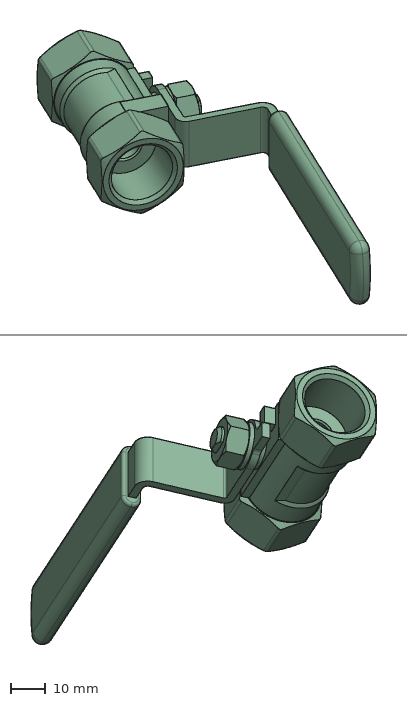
import cadquery as cq
import math


overall_depth = 57.7

hex_half_sector = 30
bevel_angle = 30

body_length = 57.0
end_x = body_length / 2
hex_flats = 25.0
hex_length = 13.7
hex_edge_radius = 1.3
hex_cone_radius = 12.2
hex_inner_x = end_x - hex_length

collar_radius = 12.0
waist_diameter = 22.2
waist_start_x = -10.2
waist_end_x = 7.7
shoulder_length = 1.2
rib_half_width = 10.9

deck_y = hex_flats / 2
deck_half_width = 6.5
cheek_height = 12.1
cheek_chamfer = 0.4
boss_diameter = 12.0

stop_start_x = -12.7
stop_length = 3.3
stop_width = 5.8
stop_top_y = 16.0

bore_diameter = 9.3
bore_chamfer = 0.5
socket_diameter = 18.6
socket_depth = 15.4
socket_mouth_diameter = 20.8

strip_thickness = 2.5
strip_width = 15.8
strip_bottom_y = 14.4
strip_top_y = strip_bottom_y + strip_thickness
riser_x = 17.0
lower_bend_radius = 1.9
upper_bend_radius = 2.8
tab_end_x = -13.0
tab_top_z = -0.4
tab_width = 5.1
tab_corner_radius = 2.6

grip_start_x = 24.9
grip_end_x = 100.0
grip_thickness = 5.9
grip_top_y = overall_depth - hex_flats / 2
grip_center_y = grip_top_y - grip_thickness / 2
grip_width = 21.5
grip_tip_bulge = 1.5
grip_corner_radius = 3.2
grip_side_flat = 0.01
grip_round = (grip_thickness - grip_side_flat) / 2
grip_mouth_radius = 1.0

washer_diameter = 14.0
nut_flats = 13.0
nut_bottom_y = 18.2
nut_top_y = 24.9
nut_cone_radius = nut_flats / 2
stem_diameter = 7.8
stem_radius = stem_diameter / 2
stem_flats = 5.5
stem_top_y = 26.7
stem_chamfer = 1.0


def box_between(x_range, y_range, z_range):
    """Box given by its lower and upper limits along each axis."""
    size = [high - low for low, high in (x_range, y_range, z_range)]
    corner = (x_range[0], y_range[0], z_range[0])
    return cq.Workplane("XY").box(*size, centered=False).translate(corner)


def upright_cylinder(radius, y_low, y_high):
    """Cylinder on the stem axis."""
    return cq.Workplane("ZX", origin=(0, y_low, 0)).circle(radius).extrude(y_high - y_low)


def coned_cylinder(length, end_radius, corner_radius, angle):
    """Cylinder along Z with conical ends, used to bevel the corners of a hexagon."""
    cone_length = (corner_radius - end_radius) * math.tan(math.radians(angle))
    outline = [
        (0, 0),
        (end_radius, 0),
        (corner_radius, cone_length),
        (corner_radius, length - cone_length),
        (end_radius, length),
        (0, length),
    ]
    return cq.Workplane("XZ").polyline(outline).close().revolve(360, (0, 0), (0, 1))


def hexagon(flats, length, end_radius, edge_radius=0.0):
    """Bevelled hexagonal prism along Z with two corners on the X axis."""
    corner_radius = flats / 2 / math.cos(math.radians(hex_half_sector))
    prism = cq.Workplane("XY").polygon(6, 2 * corner_radius).extrude(length)
    if edge_radius > 0:
        prism = prism.edges("|Z").fillet(edge_radius)
    return prism.intersect(coned_cylinder(length, end_radius, corner_radius, bevel_angle))


def end_hexagon(start_x):
    """Housing hexagon along X, its corners pointing up and down."""
    along_x = hexagon(hex_flats, hex_length, hex_cone_radius, hex_edge_radius).rotate(
        (0, 0, 0), (0, 1, 0), 90
    )
    return along_x.translate((start_x, 0, 0))


def make_barrel():
    """Round middle: two collars joined by a slimmer waist with sloped shoulders."""
    outline = [
        (-hex_inner_x, 0),
        (-hex_inner_x, collar_radius),
        (waist_start_x, collar_radius),
        (waist_start_x + shoulder_length, waist_diameter / 2),
        (waist_end_x - shoulder_length, waist_diameter / 2),
        (waist_end_x, collar_radius),
        (hex_inner_x, collar_radius),
        (hex_inner_x, 0),
    ]
    return cq.Workplane("XY").polyline(outline).close().revolve(360, (0, 0), (1, 0))


def make_waist_rib():
    """Collar-sized upper half of the waist, cut flat on both sides."""
    rib = box_between(
        (waist_start_x, waist_end_x), (0, collar_radius), (-rib_half_width, rib_half_width)
    )
    envelope = cq.Workplane("YZ").circle(collar_radius).extrude(body_length / 2, both=True)
    return rib.intersect(envelope)


def make_bore():
    """Through hole with a chamfered socket at each end."""
    mouth_chamfer = (socket_mouth_diameter - socket_diameter) / 2
    shoulder_x = end_x - socket_depth
    half_outline = [
        (end_x, socket_mouth_diameter / 2),
        (end_x - mouth_chamfer, socket_diameter / 2),
        (shoulder_x, socket_diameter / 2),
        (shoulder_x, bore_diameter / 2 + bore_chamfer),
        (shoulder_x - bore_chamfer, bore_diameter / 2),
    ]
    mirrored = [(-x, r) for x, r in reversed(half_outline)]
    outline = [(end_x, 0)] + half_outline + mirrored + [(-end_x, 0)]
    return cq.Workplane("XY").polyline(outline).close().revolve(360, (0, 0), (1, 0))


def make_housing():
    """Valve housing with its deck, stem boss and lever stop."""
    deck = box_between(
        (-hex_inner_x, hex_inner_x), (0, deck_y), (-deck_half_width, deck_half_width)
    )
    cheek = box_between((waist_end_x, hex_inner_x), (0, deck_y), (0, cheek_height))
    cheek = cheek.faces("<X").edges(">Z").chamfer(cheek_chamfer)
    stop = box_between((stop_start_x, stop_start_x + stop_length), (0, stop_top_y), (0, stop_width))
    boss = upright_cylinder(boss_diameter / 2, 0, strip_bottom_y)

    housing = make_barrel()
    for start_x in (-end_x, hex_inner_x):
        housing = housing.union(end_hexagon(start_x))
    for feature in (make_waist_rib(), deck, cheek, stop, boss):
        housing = housing.union(feature)
    return housing.cut(make_bore())


def make_strip():
    """Flat strip that runs out from the stem, rises and runs on into the grip."""
    middle_y = strip_bottom_y + strip_thickness / 2
    path = (
        cq.Workplane("XY")
        .moveTo(0, middle_y)
        .lineTo(riser_x - lower_bend_radius, middle_y)
        .tangentArcPoint((riser_x, middle_y + lower_bend_radius), relative=False)
        .lineTo(riser_x, grip_center_y - upper_bend_radius)
        .tangentArcPoint((riser_x + upper_bend_radius, grip_center_y), relative=False)
        .lineTo(grip_start_x + grip_thickness, grip_center_y)
    )
    section = cq.Workplane("YZ", origin=(0, middle_y, 0)).rect(strip_thickness, strip_width)
    return section.sweep(path)


def make_strip_head():
    """Round end of the strip around the stem, with the tab that meets the stop."""
    disc = upright_cylinder(strip_width / 2, strip_bottom_y, strip_top_y)
    tab = box_between(
        (tab_end_x, 0), (strip_bottom_y, strip_top_y), (tab_top_z - tab_width, tab_top_z)
    )
    around_joint = cq.selectors.BoxSelector(
        (tab_end_x + tab_corner_radius, strip_bottom_y, -strip_width / 2),
        (-stem_radius, strip_top_y, strip_width / 2),
    )
    return disc.union(tab).edges("|Y").edges(around_joint).fillet(tab_corner_radius)


def make_grip():
    """Rounded sleeve with a slightly bowed tip."""
    half_width = grip_width / 2
    shoulder_x = grip_end_x - grip_tip_bulge
    grip = (
        cq.Workplane("XZ", origin=(0, grip_center_y, 0))
        .moveTo(grip_start_x, -half_width)
        .lineTo(shoulder_x, -half_width)
        .threePointArc((grip_end_x, 0), (shoulder_x, half_width))
        .lineTo(grip_start_x, half_width)
        .close()
        .extrude(grip_thickness / 2, both=True)
    )
    grip = grip.edges("|Y").edges(">X").fillet(grip_corner_radius)
    grip = grip.faces("<Y or >Y").edges("not <X").fillet(grip_round)
    return grip.faces("<X").edges().fillet(grip_mouth_radius)


def make_nut():
    """Hexagon nut with two corners along X."""
    nut = hexagon(nut_flats, nut_top_y - nut_bottom_y, nut_cone_radius)
    return nut.rotate((0, 0, 0), (1, 0, 0), -90).translate((0, nut_bottom_y, 0))


def make_stem_end():
    """Chamfered stem end with two flats."""
    stem = upright_cylinder(stem_radius, nut_bottom_y, stem_top_y).faces(">Y").chamfer(stem_chamfer)
    flats = box_between(
        (-stem_radius, stem_radius), (nut_bottom_y, stem_top_y), (-stem_flats / 2, stem_flats / 2)
    )
    return stem.intersect(flats)


def make_handle():
    """Lever strip with its grip and the washer, nut and stem end that turn with it."""
    washer = upright_cylinder(washer_diameter / 2, strip_top_y, nut_bottom_y)
    handle = make_strip()
    for feature in (make_strip_head(), make_grip(), washer, make_nut(), make_stem_end()):
        handle = handle.union(feature)
    return handle


housing = make_housing()
handle = make_handle()

result = cq.Compound.makeCompound([housing.solids().val(), handle.solids().val()])